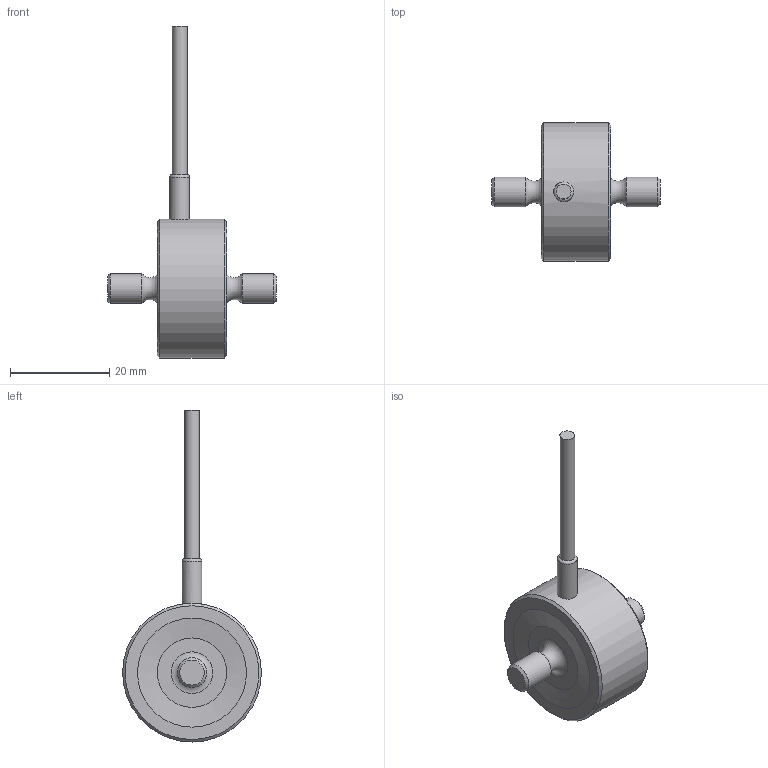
import cadquery as cq
import math


BODY_DIAMETER = 28.0
BODY_WIDTH = 14.0
BODY_CHAMFER = 0.5

RECESS_RIM_DIAMETER = 22.0
RECESS_FLOOR_DIAMETER = 14.0
RECESS_DEPTH = 0.5

STUD_DIAMETER = 6.0
STUD_LENGTH = 10.0
STUD_CHAMFER = 0.5
NECK_DIAMETER = 4.4
NECK_ARC_RADIUS = 2.0

GLAND_DIAMETER = 4.0
GLAND_HEIGHT = 9.0
CABLE_DIAMETER = 3.0
GLAND_FILLET = (GLAND_DIAMETER - CABLE_DIAMETER) / 2
CABLE_LENGTH = 30.0
CABLE_OFFSET_X = -2.5

BODY_RADIUS = BODY_DIAMETER / 2
HALF_WIDTH = BODY_WIDTH / 2
FLOOR_X = HALF_WIDTH - RECESS_DEPTH


def revolve_about_x(profile):
    """Turn a closed XY profile into a solid of revolution about the X axis."""
    return profile.revolve(360, (0, 0, 0), (1, 0, 0))


def make_body():
    """Plain disc with both outer edges chamfered."""
    disc = cq.Workplane("YZ", origin=(-HALF_WIDTH, 0, 0)).circle(BODY_RADIUS).extrude(BODY_WIDTH)
    return disc.faces("<X or >X").chamfer(BODY_CHAMFER)


def make_recess():
    """Conical dish with a flat floor, to be cut from the +X face."""
    return revolve_about_x(
        cq.Workplane("XY")
        .moveTo(FLOOR_X, 0)
        .lineTo(FLOOR_X, RECESS_FLOOR_DIAMETER / 2)
        .lineTo(HALF_WIDTH, RECESS_RIM_DIAMETER / 2)
        .lineTo(HALF_WIDTH, 0)
        .close()
    )


def make_stud():
    """Stud on the +X side, with its neck and a root buried in the body."""
    stud_radius = STUD_DIAMETER / 2
    stud_end = HALF_WIDTH + STUD_LENGTH
    root_x = HALF_WIDTH / 2

    arc_center_x = FLOOR_X + NECK_ARC_RADIUS
    arc_center_r = NECK_DIAMETER / 2 + NECK_ARC_RADIUS
    stud_start = arc_center_x + math.sqrt(NECK_ARC_RADIUS**2 - (arc_center_r - stud_radius) ** 2)

    return revolve_about_x(
        cq.Workplane("XY")
        .moveTo(root_x, 0)
        .lineTo(root_x, arc_center_r)
        .lineTo(FLOOR_X, arc_center_r)
        .threePointArc((arc_center_x, NECK_DIAMETER / 2), (stud_start, stud_radius))
        .lineTo(stud_end - STUD_CHAMFER, stud_radius)
        .lineTo(stud_end, stud_radius - STUD_CHAMFER)
        .lineTo(stud_end, 0)
        .close()
    )


def make_cable():
    """Gland with a rounded mouth and the cable, both rooted inside the body."""
    gland_top = BODY_RADIUS + GLAND_HEIGHT
    root_z = BODY_RADIUS / 2
    gland = (
        cq.Workplane("XY", origin=(CABLE_OFFSET_X, 0, root_z))
        .circle(GLAND_DIAMETER / 2)
        .extrude(gland_top - root_z)
        .faces(">Z")
        .fillet(GLAND_FILLET)
    )
    cable = (
        cq.Workplane("XY", origin=(CABLE_OFFSET_X, 0, root_z))
        .circle(CABLE_DIAMETER / 2)
        .extrude(gland_top + CABLE_LENGTH - root_z)
    )
    return gland.union(cable)


recess = make_recess()
stud = make_stud()

result = make_body()
result = result.cut(recess).cut(recess.mirror("YZ"))
result = result.union(stud).union(stud.mirror("YZ"))
result = result.union(make_cable())